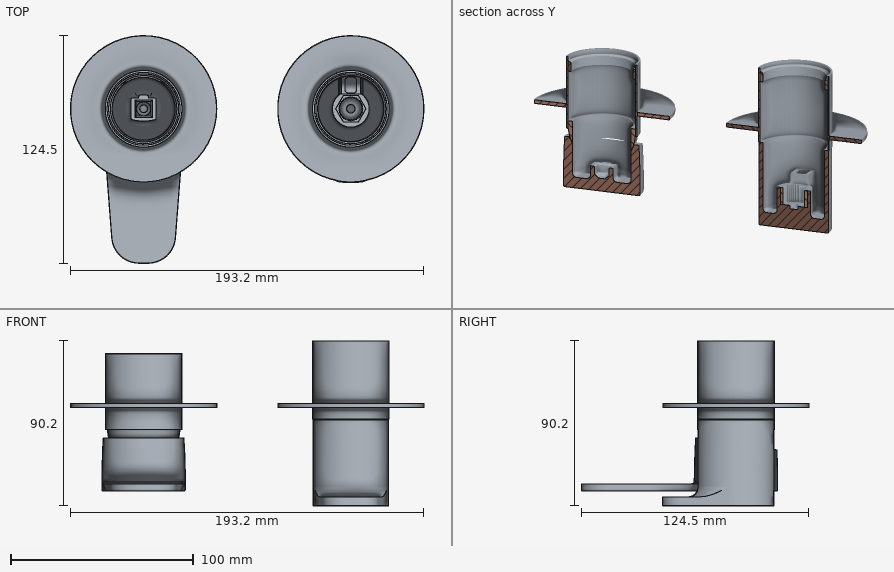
import cadquery as cq
import math


overall_length = 193.2
disc_radius = 40.0
disc_thickness = 2.3
disc_bottom = 53.7
sleeve_diameter = 42.0
sleeve_radius = sleeve_diameter / 2
bore_radius = 20.0
axis_spacing = overall_length - 2 * disc_radius

blend_overlap = 2.0

ring_bore_radius = 18.2
ring_height = 6.0
ring_chamfer = 1.0

mixer_sleeve_bottom = 41.7
mixer_sleeve_top = 83.3
mixer_ring_depth = 2.7

ball_radius = bore_radius
ball_center_z = 42.9
neck_top = 46.4
neck_bore_radius = 17.2

lever_bottom = 8.1
lever_top = 12.2
lever_reach = 84.5
lever_taper = 4.4
lever_corner_radius = 15.0
lever_bottom_fillet = 1.0
lever_foot_height = 1.2
lever_top_fillet = 0.5
lever_root_fillet = 1.4
barrel_bottom_radius = 22.8
barrel_top_radius = 22.0
barrel_top = 37.3
barrel_bulge = 0.29
tilt_relief_start = 2.9
tilt_relief_angle = 19.3

mixer_floor = 14.5
floor_tolerance = 0.2
mixer_cup_radius = 17.2
mixer_cup_fillet = 2.1
socket_boss_height = 7.7
socket_boss_half_width = 6.8
socket_boss_back = 6.0
socket_boss_front = 5.8
socket_boss_nose = 6.8
socket_boss_fillet = 2.3
socket_boss_corner = 0.5
key_half_width = 2.7
key_back = 7.5
key_corner = 1.2
socket_half_width = 4.0
socket_depth = 4.8
socket_chamfer = 0.8
countersink_radius = 3.9
countersink_tip_radius = 2.1
countersink_depth = 1.7

diverter_sleeve_bottom = 47.5
diverter_sleeve_top = 90.2
diverter_ring_depth = 2.1

handle_radius = 20.7
handle_top_chamfer = 0.4
paddle_thickness = 5.0
paddle_reach = 40.2
paddle_taper = 11.3
paddle_corner_radius = 11.4
paddle_root_fillet = 5.5
paddle_edge_chamfer = 0.2

diverter_floor = 7.7
diverter_cup_radius = 18.0
diverter_cup_fillet = 1.7
hub_radius = 10.0
hub_top = 23.2
hub_fillet = 2.1
rib_front = 8.1
rib_top = 29.0
rib_top_half_width = 5.2
rib_bottom_half_width = 6.8
rib_pocket_width = 6.4
rib_pocket_length = 8.7
rib_pocket_depth = 2.0
rib_pocket_corner = 2.0
rib_pocket_center = 13.0
rib_wall_overlap = 1.0

insert_across_flats = 14.3
insert_depth = 9.7
spline_count = 40
spline_outer_radius = 6.5
spline_inner_radius = 6.0
screw_hole_radius = 2.3
screw_hole_depth = 2.0


def cylinder(radius, bottom, top):
    return cq.Workplane("XY").workplane(offset=bottom).circle(radius).extrude(top - bottom)


def revolve_profile(profile):
    """Revolve a closed XZ profile (radius, height) about the Z axis."""
    return profile.close().revolve(360, (0, 0, 0), (0, 1, 0))


def make_disc():
    disc = cylinder(disc_radius, disc_bottom, disc_bottom + disc_thickness)
    return disc.cut(cylinder(sleeve_radius, disc_bottom, disc_bottom + disc_thickness))


def make_sleeve(bottom, top):
    return cylinder(sleeve_radius, bottom, top).cut(cylinder(bore_radius, bottom, top))


def make_ring(top):
    """Ring with a chamfered inner top edge."""
    bottom = top - ring_height
    ring = cylinder(bore_radius, bottom, top).cut(cylinder(ring_bore_radius, bottom, top))
    inner_edge = ring.faces(">Z").edges(cq.selectors.RadiusNthSelector(0))
    return inner_edge.chamfer(ring_chamfer)


def tapered_plate(hub, reach, taper, corner, bottom, top):
    """Plate whose sides start tangent to the hub circle and narrow towards a round-cornered tip at -Y."""
    sin_t = math.sin(math.radians(taper))
    cos_t = math.cos(math.radians(taper))
    corner_y = corner - reach
    corner_x = (hub - corner + corner_y * sin_t) / cos_t
    middle_angle = math.radians((90 + taper) / 2)

    side_root = (hub * cos_t, -hub * sin_t)
    side_end = (corner_x + corner * cos_t, corner_y - corner * sin_t)
    corner_mid = (
        corner_x + corner * math.cos(middle_angle),
        corner_y - corner * math.sin(middle_angle),
    )

    def mirrored(point):
        return (-point[0], point[1])

    outline = (
        cq.Workplane("XY")
        .workplane(offset=bottom)
        .moveTo(*side_root)
        .lineTo(*side_end)
        .threePointArc(corner_mid, (corner_x, -reach))
        .lineTo(-corner_x, -reach)
        .threePointArc(mirrored(corner_mid), mirrored(side_end))
        .lineTo(*mirrored(side_root))
        .close()
    )
    return outline.extrude(top - bottom)


def root_fillet(hub, plate_top, radius):
    """Concave ring that blends the hub into the top of the plate."""
    middle = radius * (1 - math.sqrt(0.5))
    inside = hub - blend_overlap
    below = plate_top - blend_overlap
    profile = (
        cq.Workplane("XZ")
        .moveTo(inside, below)
        .lineTo(hub + radius, below)
        .lineTo(hub + radius, plate_top)
        .threePointArc((hub + middle, plate_top + middle), (hub, plate_top + radius))
        .lineTo(inside, plate_top + radius)
    )
    return revolve_profile(profile)


def cup(radius, floor, top, fillet):
    return cylinder(radius, floor, top).faces("<Z").edges().fillet(fillet)


def ball_solid():
    ball = cq.Workplane("XY").sphere(ball_radius).translate((0, 0, ball_center_z))
    lower_half = ball.intersect(cylinder(ball_radius, 0, ball_center_z))
    return lower_half.union(cylinder(ball_radius, ball_center_z, neck_top))


def make_neck():
    return ball_solid().cut(cylinder(neck_bore_radius, 0, neck_top))


def lever_barrel():
    bottom = lever_bottom + lever_foot_height
    middle = (
        (barrel_bottom_radius + barrel_top_radius) / 2 + barrel_bulge,
        (bottom + barrel_top) / 2,
    )
    profile = (
        cq.Workplane("XZ")
        .moveTo(0, bottom)
        .lineTo(barrel_bottom_radius, bottom)
        .threePointArc(middle, (barrel_top_radius, barrel_top))
        .lineTo(0, barrel_top)
    )
    barrel = revolve_profile(profile)
    length = 2 * barrel_bottom_radius
    relief = (
        cq.Workplane("XY")
        .box(2 * length, length, length, centered=(True, False, False))
        .rotate((0, 0, 0), (1, 0, 0), -tilt_relief_angle)
        .translate((0, tilt_relief_start, barrel_top))
    )
    return barrel.cut(relief)


def socket_boss():
    boss = (
        cq.Workplane("XY")
        .workplane(offset=mixer_floor)
        .moveTo(-socket_boss_half_width, -socket_boss_front)
        .threePointArc((0, -socket_boss_nose), (socket_boss_half_width, -socket_boss_front))
        .lineTo(socket_boss_half_width, socket_boss_back)
        .lineTo(key_half_width, socket_boss_back)
        .lineTo(key_half_width, key_back)
        .lineTo(-key_half_width, key_back)
        .lineTo(-key_half_width, socket_boss_back)
        .lineTo(-socket_boss_half_width, socket_boss_back)
        .close()
        .extrude(socket_boss_height)
    )
    boss = boss.edges("|Z").edges("<X or >X").fillet(socket_boss_corner)
    return boss.edges("|Z").edges(">Y").fillet(key_corner)


def square_socket():
    top = mixer_floor + socket_boss_height
    width = 2 * socket_half_width
    socket = cq.Workplane("XY").workplane(offset=top).rect(width, width).extrude(-socket_depth)
    mouth_width = width + 2 * socket_chamfer
    mouth = (
        cq.Workplane("XY")
        .workplane(offset=top)
        .rect(mouth_width, mouth_width)
        .extrude(-socket_chamfer, taper=45)
    )
    countersink = (
        cq.Workplane("XY")
        .workplane(offset=top - socket_depth)
        .circle(countersink_radius)
        .workplane(offset=-countersink_depth)
        .circle(countersink_tip_radius)
        .loft()
    )
    return socket.union(mouth).union(countersink)


def fillet_boss_root(lever):
    """Blend the foot of the socket boss into the cup floor."""
    half = socket_boss_half_width + socket_boss_fillet
    low = mixer_floor - floor_tolerance
    high = mixer_floor + floor_tolerance
    near_floor = cq.selectors.BoxSelector((-half, -half, low), (half, half, high), boundingbox=True)
    return lever.edges(near_floor).fillet(socket_boss_fillet)


def make_lever():
    plan = (barrel_bottom_radius, lever_reach, lever_taper, lever_corner_radius)
    plate = tapered_plate(*plan, lever_bottom, lever_top)
    plate = plate.faces(">Z").edges().fillet(lever_top_fillet)
    plate = plate.union(cylinder(barrel_bottom_radius, lever_bottom, lever_bottom + lever_foot_height))
    plate = plate.faces("<Z").edges().fillet(lever_bottom_fillet)
    blend = root_fillet(barrel_bottom_radius, lever_top, lever_root_fillet)
    blend = blend.intersect(tapered_plate(*plan, lever_bottom, lever_top + lever_root_fillet))
    lever = plate.union(lever_barrel()).union(blend)
    lever = lever.cut(cup(mixer_cup_radius, mixer_floor, barrel_top, mixer_cup_fillet))
    lever = fillet_boss_root(lever.union(socket_boss()))
    return lever.cut(ball_solid()).cut(square_socket())


def hub():
    post = cylinder(hub_radius, diverter_floor, hub_top)
    return post.union(root_fillet(hub_radius, diverter_floor, hub_fillet))


def rib():
    length = diverter_cup_radius + rib_wall_overlap - rib_front
    body = (
        cq.Workplane("XZ", origin=(0, rib_front, 0))
        .moveTo(-rib_bottom_half_width, diverter_floor)
        .lineTo(rib_bottom_half_width, diverter_floor)
        .lineTo(rib_top_half_width, rib_top)
        .lineTo(-rib_top_half_width, rib_top)
        .close()
        .extrude(-length)
    )
    pocket = (
        cq.Workplane("XY", origin=(0, rib_pocket_center, rib_top - rib_pocket_depth))
        .rect(rib_pocket_width, rib_pocket_length)
        .extrude(rib_pocket_depth)
        .edges("|Z")
        .fillet(rib_pocket_corner)
    )
    return body.cut(pocket)


def insert_blank():
    across_corners = insert_across_flats / math.cos(math.pi / 6)
    return (
        cq.Workplane("XY")
        .workplane(offset=hub_top - insert_depth)
        .polygon(6, across_corners)
        .extrude(insert_depth)
    )


def make_paddle():
    plan = (handle_radius, paddle_reach, paddle_taper, paddle_corner_radius)
    plate = tapered_plate(*plan, 0, paddle_thickness)
    blend = root_fillet(handle_radius, paddle_thickness, paddle_root_fillet)
    blend = blend.intersect(tapered_plate(*plan, 0, paddle_thickness + paddle_root_fillet))
    body = cylinder(handle_radius, 0, diverter_sleeve_bottom)
    body = body.faces(">Z").edges().chamfer(handle_top_chamfer)
    paddle = body.union(plate).union(blend)
    paddle = paddle.faces("<Z").edges().chamfer(paddle_edge_chamfer)
    paddle = paddle.cut(
        cup(diverter_cup_radius, diverter_floor, diverter_sleeve_bottom, diverter_cup_fillet)
    )
    paddle = paddle.union(hub()).union(rib())
    screw_hole_top = hub_top - insert_depth
    paddle = paddle.cut(insert_blank())
    return paddle.cut(cylinder(screw_hole_radius, screw_hole_top - screw_hole_depth, screw_hole_top))


def make_insert():
    points = []
    for i in range(2 * spline_count):
        radius = spline_outer_radius if i % 2 == 0 else spline_inner_radius
        angle = math.pi * i / spline_count
        points.append((radius * math.cos(angle), radius * math.sin(angle)))
    bore = cq.Workplane("XY").workplane(offset=hub_top - insert_depth).polyline(points).close()
    return insert_blank().cut(bore.extrude(insert_depth))


mixer_disc = make_disc()
mixer_sleeve = make_sleeve(mixer_sleeve_bottom, mixer_sleeve_top)
mixer_ring = make_ring(mixer_sleeve_top - mixer_ring_depth)
neck = make_neck()
lever = make_lever()

diverter_place = (axis_spacing, 0, 0)
diverter_disc = make_disc().translate(diverter_place)
diverter_sleeve = make_sleeve(diverter_sleeve_bottom, diverter_sleeve_top).translate(diverter_place)
diverter_ring = make_ring(diverter_sleeve_top - diverter_ring_depth).translate(diverter_place)
paddle = make_paddle().translate(diverter_place)
insert = make_insert().translate(diverter_place)

bodies = [
    mixer_disc, mixer_sleeve, mixer_ring, neck, lever,
    diverter_disc, diverter_sleeve, diverter_ring, paddle, insert,
]
result = cq.Compound.makeCompound([body.val() for body in bodies])